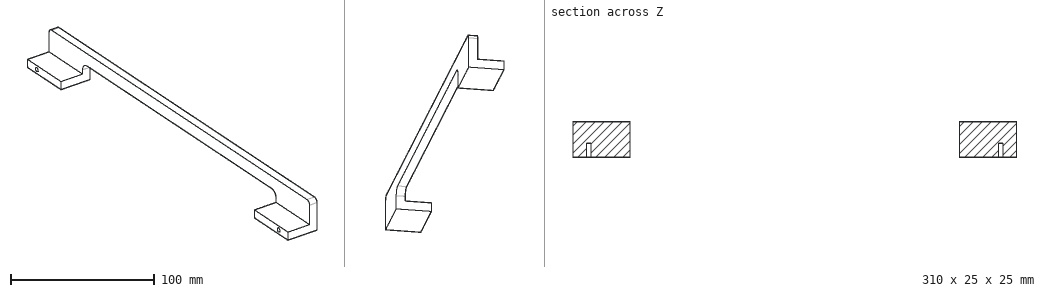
import cadquery as cq

length = 310.0
depth = 25.0
height = 25.0

thickness = 6.5
bar_height = 10.0
foot_length = 40.0
outer_radius = 3.0
inner_radius = 5.3

hole_diameter = 3.0
hole_depth = 10.0
hole_inset = 11.2

opening_length = length - 2 * foot_length
opening_height = height - bar_height


def make_upright():
    """Back plate with rounded top corners and a round-cornered opening between its legs."""
    plate = (
        cq.Workplane("XY")
        .box(length, thickness, height, centered=(True, False, False))
        .translate((0, depth - thickness, 0))
        .edges("|Y and >Z")
        .fillet(outer_radius)
    )
    opening = (
        cq.Workplane("XY")
        .box(opening_length, depth, opening_height, centered=(True, False, False))
        .edges("|Y and >Z")
        .fillet(inner_radius)
    )
    return plate.cut(opening)


def make_foot(side):
    """Flat foot at one end, side = -1 or 1, with a blind hole in its front edge."""
    foot_center = side * (length - foot_length) / 2
    foot = (
        cq.Workplane("XY")
        .box(foot_length, depth, thickness, centered=(True, False, False))
        .translate((foot_center, 0, 0))
    )
    hole_start = cq.Vector(side * (length / 2 - hole_inset), 0, thickness / 2)
    hole = cq.Solid.makeCylinder(hole_diameter / 2, hole_depth, hole_start, cq.Vector(0, 1, 0))
    return foot.cut(cq.Workplane(obj=hole))


result = make_upright()
for side in (-1, 1):
    result = result.union(make_foot(side))